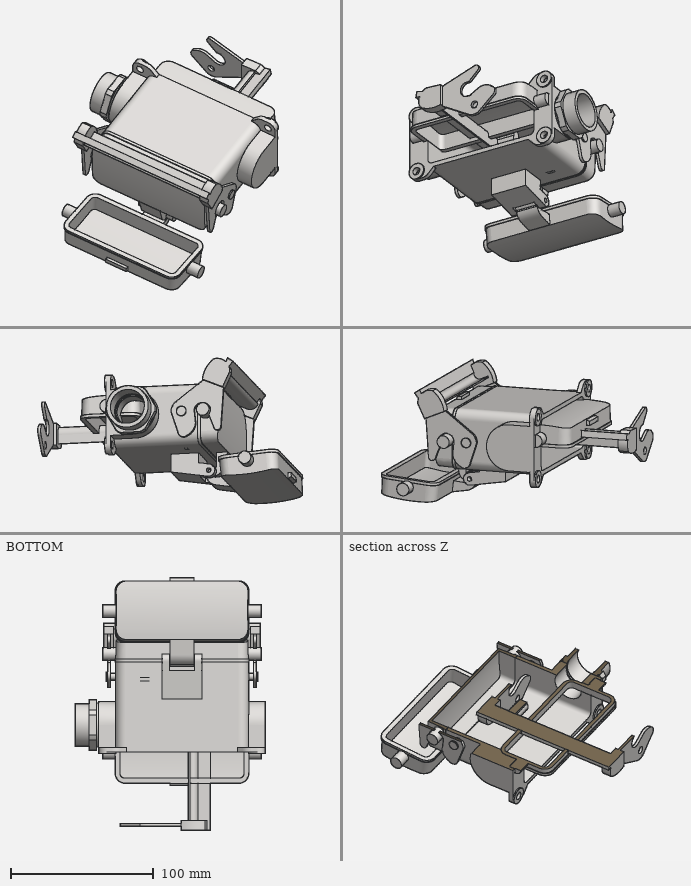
import cadquery as cq
import math


half_width = 46.8
half_height = 21.6
shell_corner_radius = 7.1
cavity_half_width = 43.6
wall = half_width - cavity_half_width
cavity_corner_radius = 3.5

ear_half_width = 58.5
ear_half_height = 28.2
ear_thickness = 3.4
ear_slope_radius = 7.8
ear_slope_start = 45.4
ear_hole_diameter = 5.5
pad_radius = 6.0
ear_hole_x = ear_half_width - pad_radius
ear_hole_z = ear_half_height - pad_radius
pad_height = 1.0

boss_radius = 16.5
cable_y = -19.0
boss_bore_diameter = 21.8

pivot_y = -52.8
rivet_shaft_diameter = 5.0
rivet_head_diameter = 7.0
rivet_head_height = 1.0

hinge_y = -64.2
hinge_z = -34.4
bracket_half_width = 14.0
bracket_rear_y = -37.2
bracket_front_y = -57.1
bracket_step_z = -28.7
bracket_knuckle_radius = 4.5
bracket_slope = 9.3
hinge_hole_diameter = 3.2
fork_half_gap = 8.7

gland_length = 16.5
gland_neck_diameter = 31.0
gland_neck_length = 1.5
nut_length = 5.1
nut_across_flats = 32.5
nut_turned_diameter = 35.5
gland_tube_diameter = 30.0
gland_bore_diameter = 24.3
gland_seat_diameter = 23.4
gland_seat_length = 2.5

lever_half_length = 55.0
lever_block_length = 7.1
lever_plate_outer = 52.1
lever_plate_thickness = 2.1
lever_hole_diameter = 5.1
block_base = 26.0
block_left = 5.9
block_right = 21.6
lever_tilt = 23.0

rim_offset = 1.0
rim_thickness = 2.1
rim_half_width = 47.0
rim_half_depth = 21.6
rim_centre = 34.4
cover_half_width = 46.6
cover_half_depth = 21.1
cover_draft = 2.0
cover_corner_radius = 7.3
cover_crown = 14.4
cover_edge = 12.5
cover_floor = 2.1
cover_cavity_half_depth = 17.9
cover_pin_diameter = 9.0
cover_pin_height = 4.6
cover_pin_half_span = 55.7
cover_arm_half_width = 8.5
cover_knuckle_radius = 4.3
tab_low = 8.0
tab_high = 11.0
open_angle = 85.2

overall_length = 177.3
open_reach = overall_length - lever_half_length + hinge_y
open_turn = math.radians(open_angle)
tab_reach = (open_reach - tab_high * math.cos(open_turn)) / math.sin(open_turn)

rear_hinge_y = -34.0
rear_hinge_z = 1.0
rear_angle = -90.0
rear_pivot_x = -26.6
rear_pivot_z = -13.8


def rounded_bar(width, height, radius, rear_y, length):
    """Bar along -Y with rounded long edges."""
    bar = cq.Workplane("XZ", origin=(0, rear_y, 0)).rect(width, height).extrude(length)
    return bar.edges("|Y").fillet(radius)


def x_rod(diameter, x_start, x_end, y, z):
    """Round rod along X."""
    rod = cq.Workplane("YZ", origin=(x_start, y, z)).circle(diameter / 2)
    return rod.extrude(x_end - x_start)


def make_ear(side_x, side_z):
    """One mounting ear in the corner given by the signs of X and Z."""
    inner_z = half_height - wall
    slope_end = ear_slope_start - (ear_half_height - inner_z)
    corner = (
        (ear_half_width, 0),
        (ear_half_width, ear_half_height),
        (ear_slope_start, ear_half_height),
        (slope_end, inner_z),
        (cavity_half_width, inner_z),
        (cavity_half_width, 0),
    )
    points = [(side_x * x, side_z * z) for x, z in corner]
    ear = cq.Workplane("XZ").polyline(points).close().extrude(ear_thickness)
    mid_y = -ear_thickness / 2
    outer_corner = (side_x * ear_half_width, mid_y, side_z * ear_half_height)
    slope_corner = (side_x * ear_slope_start, mid_y, side_z * ear_half_height)
    ear = ear.edges(cq.NearestToPointSelector(outer_corner)).fillet(pad_radius)
    ear = ear.edges(cq.NearestToPointSelector(slope_corner)).fillet(ear_slope_radius)

    hole_centre = (side_x * ear_hole_x, pad_height, side_z * ear_hole_z)
    pad = cq.Workplane("XZ", origin=hole_centre).circle(pad_radius)
    ear = ear.union(pad.extrude(pad_height + ear_thickness))
    hole = cq.Workplane("XZ", origin=hole_centre).circle(ear_hole_diameter / 2)
    return ear.cut(hole.extrude(pad_height + ear_thickness))


def make_side_bosses():
    """Bar across the housing, square at the rear and round at the front; its ends are the bosses."""
    bosses = (
        cq.Workplane("YZ", origin=(-ear_half_width, 0, 0))
        .moveTo(0, boss_radius)
        .lineTo(cable_y, boss_radius)
        .threePointArc((cable_y - boss_radius, 0), (cable_y, -boss_radius))
        .lineTo(0, -boss_radius)
        .close()
        .extrude(2 * ear_half_width)
    )
    return bosses


def make_bracket():
    """Hinge bracket whose front part is a fork with a rounded end."""
    slope = math.radians(bracket_slope)
    reach_y = bracket_knuckle_radius * math.sin(slope)
    reach_z = bracket_knuckle_radius * math.cos(slope)
    bottom = (hinge_y + reach_y, hinge_z - reach_z)
    top = (hinge_y - reach_y, hinge_z + reach_z)
    bottom_rear_z = bottom[1] + (bracket_rear_y - bottom[0]) * math.tan(slope)
    bracket = (
        cq.Workplane("YZ", origin=(-bracket_half_width, 0, 0))
        .moveTo(bracket_rear_y, wall - half_height)
        .lineTo(bracket_front_y, wall - half_height)
        .lineTo(bracket_front_y, bracket_step_z)
        .lineTo(*top)
        .threePointArc((hinge_y - reach_z, hinge_z - reach_y), bottom)
        .lineTo(bracket_rear_y, bottom_rear_z)
        .close()
        .extrude(2 * bracket_half_width)
    )
    gap_length = bracket_front_y - hinge_y + 2 * bracket_knuckle_radius
    gap = cq.Workplane("XY").box(2 * fork_half_gap, gap_length, 4 * bracket_knuckle_radius)
    bracket = bracket.cut(gap.translate((0, bracket_front_y - gap_length / 2, hinge_z)))
    return bracket.cut(
        x_rod(hinge_hole_diameter, -bracket_half_width, bracket_half_width, hinge_y, hinge_z)
    )


def make_rivet(side):
    """Headed rivet on one side wall; the lever plate turns under its head."""
    shaft = x_rod(
        rivet_shaft_diameter, side * (half_width - wall), side * lever_plate_outer, pivot_y, 0
    )
    head_end = lever_plate_outer + rivet_head_height
    head = x_rod(rivet_head_diameter, side * lever_plate_outer, side * head_end, pivot_y, 0)
    return shaft.union(head)


def make_housing():
    """Open-ended shell with ears, bosses, cable opening, bracket and rivets."""
    length = -(hinge_y + rim_offset)
    housing = rounded_bar(2 * half_width, 2 * half_height, shell_corner_radius, 0, length)
    housing = housing.union(make_side_bosses())
    for side_x in (-1, 1):
        for side_z in (-1, 1):
            housing = housing.union(make_ear(side_x, side_z))
    cavity_height = 2 * (half_height - wall)
    housing = housing.cut(
        rounded_bar(2 * cavity_half_width, cavity_height, cavity_corner_radius, 0, length)
    )
    housing = housing.cut(x_rod(boss_bore_diameter, -ear_half_width, 0, cable_y, 0))
    housing = housing.union(make_bracket())
    for side in (-1, 1):
        housing = housing.union(make_rivet(side))
    return housing


def make_gland():
    """Cable gland on the -X boss: neck, hexagon nut and tube with a stepped bore."""
    neck_end = -ear_half_width - gland_neck_length
    nut_end = neck_end - nut_length
    tube_end = -ear_half_width - gland_length
    neck = x_rod(gland_neck_diameter, -ear_half_width, neck_end, cable_y, 0)
    across_corners = nut_across_flats / math.cos(math.pi / 6)
    nut = (
        cq.Workplane("YZ", origin=(nut_end, cable_y, 0)).polygon(6, across_corners).extrude(nut_length)
    )
    nut = nut.intersect(x_rod(nut_turned_diameter, nut_end, neck_end, cable_y, 0))
    tube = x_rod(gland_tube_diameter, nut_end, tube_end, cable_y, 0)
    gland = neck.union(nut).union(tube)
    seat_end = -ear_half_width - gland_seat_length
    gland = gland.cut(x_rod(gland_bore_diameter, seat_end, tube_end, cable_y, 0))
    return gland.cut(x_rod(gland_seat_diameter, -ear_half_width, seat_end, cable_y, 0))


def make_lever(plane):
    """Locking lever in a plane with the pivot axis along the plane normal."""
    base = cq.Workplane(plane)

    lever = (
        base.workplane(offset=-lever_half_length)
        .moveTo(7.8, 31.0)
        .lineTo(14.0, 31.0)
        .threePointArc((19.0, 32.6), (20.7, 37.0))
        .lineTo(19.3, 37.6)
        .lineTo(21.5, 45.5)
        .lineTo(16.8, 46.5)
        .lineTo(16.8, 37.8)
        .threePointArc((16.7, 33.7), (13.7, 32.1))
        .lineTo(7.8, 32.1)
        .close()
        .extrude(2 * lever_half_length)
    )

    for side in (-1, 1):
        block_start = lever_half_length - (lever_block_length if side > 0 else 0)
        block = (
            base.workplane(offset=side * block_start)
            .moveTo(block_left, block_base)
            .threePointArc((5.3, 35.5), (8.0, 42.5))
            .threePointArc((13.7, 44.2), (22.2, 37.8))
            .lineTo(block_right, block_base)
            .close()
            .extrude(lever_block_length)
        )
        lever = lever.union(block)

        plate_start = lever_plate_outer - (lever_plate_thickness if side > 0 else 0)
        plate = (
            base.workplane(offset=side * plate_start)
            .moveTo(block_left, block_base)
            .lineTo(-7.1, 3.7)
            .threePointArc((-7.6, 0.4), (-7.1, -2.8))
            .lineTo(3.2, -14.5)
            .threePointArc((7.6, -16.7), (10.6, -14.4))
            .threePointArc((13.1, -9.2), (12.6, -4.0))
            .lineTo(8.3, 3.5)
            .threePointArc((12.8, 11.3), (19.3, 7.6))
            .lineTo(19.5, 4.3)
            .lineTo(26.6, -3.0)
            .threePointArc((29.8, -3.2), (30.9, -0.7))
            .lineTo(block_right, block_base)
            .close()
            .extrude(lever_plate_thickness)
        )
        hole = base.workplane(offset=side * plate_start).circle(lever_hole_diameter / 2)
        lever = lever.union(plate).cut(hole.extrude(lever_plate_thickness))
    return lever


def make_cover(plane):
    """Hollow cover in a plane with the hinge axis along the plane normal."""
    base = cq.Workplane(plane)

    def across(half_span):
        return base.workplane(offset=-half_span)

    rim = cq.Workplane(
        cq.Plane(plane.toWorldCoords((rim_centre, -rim_offset)), plane.xDir, plane.yDir)
    )

    def crowned(floor):
        """Block from the rim up to a shallow crown that lies the distance floor under the outer crown."""
        far = rim_centre + rim_half_depth
        near = rim_centre - rim_half_depth
        return (
            across(rim_half_width)
            .moveTo(near, -rim_offset)
            .lineTo(near, cover_edge - floor)
            .threePointArc((rim_centre, cover_crown - floor), (far, cover_edge - floor))
            .lineTo(far, -rim_offset)
            .close()
            .extrude(2 * rim_half_width)
        )

    depth = cover_crown + rim_offset
    lip = rim.rect(2 * rim_half_depth, 2 * rim_half_width).extrude(rim_thickness)
    lip = lip.edges(cq.ParallelDirSelector(plane.yDir)).fillet(cover_corner_radius)
    corner_outline = cq.Sketch().rect(2 * cover_half_depth, 2 * cover_half_width)
    corner_outline = corner_outline.vertices().fillet(cover_corner_radius)
    body = rim.placeSketch(corner_outline).extrude(depth, taper=cover_draft)
    body = body.intersect(crowned(0))
    inner_outline = cq.Sketch().rect(2 * cover_cavity_half_depth, 2 * cavity_half_width)
    inner_outline = inner_outline.vertices().fillet(cavity_corner_radius)
    cavity = rim.placeSketch(inner_outline).extrude(depth).intersect(crowned(cover_floor))

    arm = (
        across(cover_arm_half_width)
        .moveTo(14.9, 4.5)
        .lineTo(3.2, 4.5)
        .lineTo(3.2, 0)
        .lineTo(-3.0, 0)
        .lineTo(-3.0, 4.0)
        .threePointArc((-1.0, 7.5), (3.5, 10.0))
        .lineTo(13.1, cover_edge)
        .lineTo(14.9, cover_edge)
        .close()
        .extrude(2 * cover_arm_half_width)
    )
    knuckle = across(cover_arm_half_width).circle(cover_knuckle_radius)
    knuckle = knuckle.extrude(2 * cover_arm_half_width)

    tab_root = rim_centre + (cover_half_depth + cover_cavity_half_depth) / 2
    tab = (
        across(cover_arm_half_width)
        .moveTo(tab_root, tab_low)
        .lineTo(tab_reach, tab_low)
        .lineTo(tab_reach, tab_high)
        .lineTo(tab_root, cover_edge)
        .close()
        .extrude(2 * cover_arm_half_width)
    )

    pins = (
        across(cover_pin_half_span)
        .center(rim_centre, cover_pin_height)
        .circle(cover_pin_diameter / 2)
        .extrude(2 * cover_pin_half_span)
    )
    cover = lip.union(body).union(pins).union(arm).union(tab).cut(cavity)
    return cover.union(knuckle)


def cover_plane(hinge_point, angle):
    """Plane of a cover whose rim direction is turned by angle from +Z toward -Y."""
    turn = math.radians(angle)
    return cq.Plane(hinge_point, (0, -math.sin(turn), math.cos(turn)), (1, 0, 0))


tilt = math.radians(lever_tilt)
front_lever = make_lever(
    cq.Plane((0, pivot_y, 0), (0, -math.cos(tilt), -math.sin(tilt)), (-1, 0, 0))
)
rear_lever = make_lever(cq.Plane((rear_pivot_x, 0, rear_pivot_z), (0, 0, 1), (0, 1, 0)))

closed_cover = make_cover(cover_plane((0, hinge_y, hinge_z), 0))
open_cover = make_cover(cover_plane((0, hinge_y, hinge_z), open_angle)).cut(closed_cover)
rear_cover = make_cover(cover_plane((0, rear_hinge_y, rear_hinge_z), rear_angle)).cut(rear_lever)

rear_cover = cq.Workplane(max(rear_cover.val().Solids(), key=lambda solid: solid.Volume()))

housing = make_housing().cut(rear_cover).cut(rear_lever)
gland = make_gland()

result = cq.Compound.makeCompound(
    [
        housing.val(),
        gland.val(),
        front_lever.val(),
        rear_lever.val(),
        closed_cover.val(),
        open_cover.val(),
        rear_cover.val(),
    ]
)